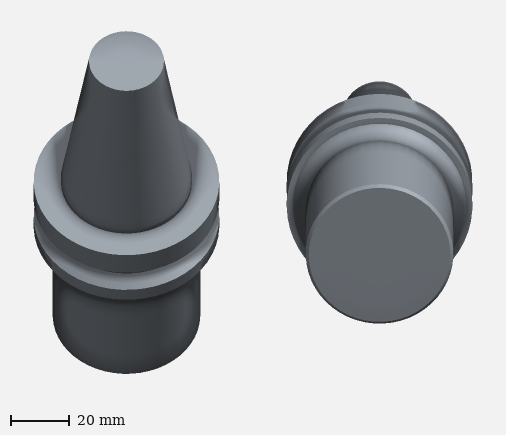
import cadquery as cq

total_length = 143.4
body_diameter = 50.0
flange_diameter = 63.0
groove_diameter = 53.0
collar_top_diameter = 58.8
taper_large_diameter = 44.5
taper_small_diameter = 25.4

collar_bottom = 46.2
flange_bottom = 51.0
flange_top = 76.0
taper_bottom = 78.0

groove_center = 61.4
groove_floor_width = 4.2
groove_mouth_width = 9.6

end_chamfer = 1.0

body_radius = body_diameter / 2
flange_radius = flange_diameter / 2
groove_radius = groove_diameter / 2
taper_large_radius = taper_large_diameter / 2

profile = [
    (0, 0),
    (body_radius - end_chamfer, 0),
    (body_radius, end_chamfer),
    (body_radius, collar_bottom),
    (collar_top_diameter / 2, flange_bottom),
    (flange_radius, flange_bottom),
    (flange_radius, groove_center - groove_mouth_width / 2),
    (groove_radius, groove_center - groove_floor_width / 2),
    (groove_radius, groove_center + groove_floor_width / 2),
    (flange_radius, groove_center + groove_mouth_width / 2),
    (flange_radius, flange_top),
    (taper_large_radius, flange_top),
    (taper_large_radius, taper_bottom),
    (taper_small_diameter / 2, total_length),
    (0, total_length),
]

result = cq.Workplane("XZ").polyline(profile).close().revolve(360, (0, 0), (0, 1))